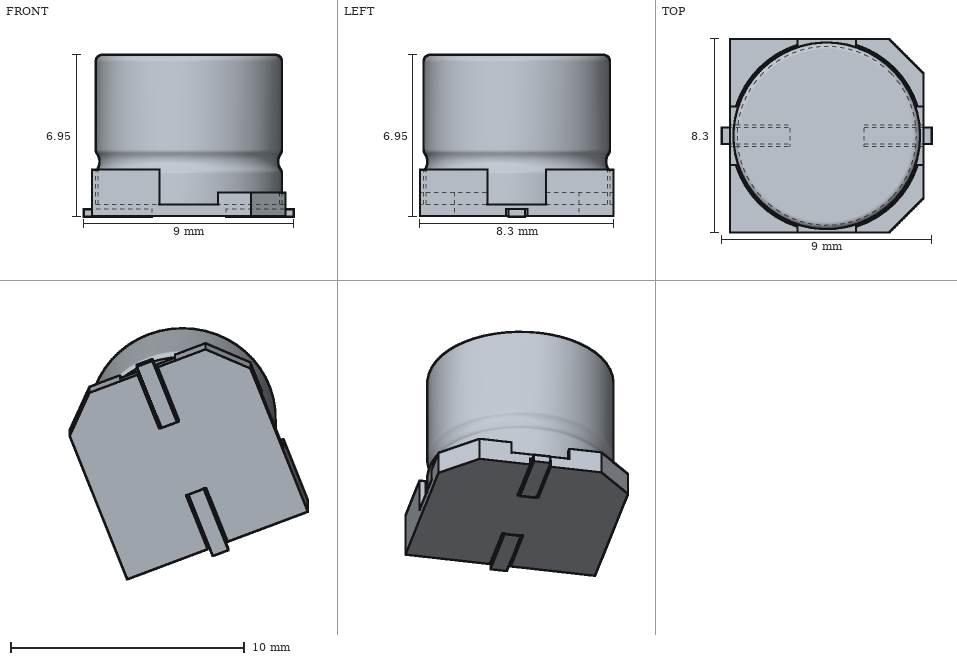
import cadquery as cq
import math

total_length = 9.0
total_height = 6.95

base_side = 8.3
base_bottom = 0.04
base_top = 2.025
low_corner_top = 1.04
chamfer = 1.485
notch_width = 2.52
pocket_floor = 0.54
pocket_radius = 4.09

can_radius = 4.0
rim_fillet = 0.3
groove_height = 2.37
groove_depth = 0.16
groove_radius = 0.6
groove_lip_radius = 0.3

lead_width = 0.72
lead_thickness = 0.33
lead_inner_end = 1.58
slot_width = 0.91


def box_between(x_start, x_end, width, z_bottom, z_top):
    """Box spanning two X positions and two heights, centred on Y."""
    length = x_end - x_start
    return (
        cq.Workplane("XY", origin=((x_start + x_end) / 2, 0, z_bottom))
        .rect(length, width)
        .extrude(z_top - z_bottom)
    )


def make_base():
    """Square base, lowered and chamfered on +X, with a round pocket and four side notches."""
    half_side = base_side / 2
    base = box_between(-half_side, half_side, base_side, base_bottom, base_top)
    base = base.edges("|Z and >X").chamfer(chamfer)
    base = base.cut(box_between(0, half_side, base_side, low_corner_top, base_top))

    pocket_depth = base_top - pocket_floor
    floor_plane = cq.Workplane("XY", origin=(0, 0, pocket_floor))
    base = base.cut(floor_plane.circle(pocket_radius).extrude(pocket_depth))
    base = base.cut(floor_plane.rect(base_side, notch_width).extrude(pocket_depth))
    return base.cut(floor_plane.rect(notch_width, base_side).extrude(pocket_depth))


def make_can():
    """Revolved can with a rounded top rim and a smooth crimp groove near its foot."""
    turn = math.acos(1 - groove_depth / (groove_radius + groove_lip_radius))
    waist_radius = can_radius - groove_depth
    tangent_radius = waist_radius + groove_radius * (1 - math.cos(turn))
    tangent_rise = groove_radius * math.sin(turn)
    groove_half_height = tangent_rise + groove_lip_radius * math.sin(turn)

    lip_middle_radius = can_radius - groove_lip_radius * (1 - math.cos(turn / 2))
    lip_middle_rise = groove_half_height - groove_lip_radius * math.sin(turn / 2)

    profile = (
        cq.Workplane("XZ")
        .moveTo(0, pocket_floor)
        .lineTo(can_radius, pocket_floor)
        .lineTo(can_radius, groove_height - groove_half_height)
        .threePointArc(
            (lip_middle_radius, groove_height - lip_middle_rise),
            (tangent_radius, groove_height - tangent_rise),
        )
        .threePointArc(
            (waist_radius, groove_height),
            (tangent_radius, groove_height + tangent_rise),
        )
        .threePointArc(
            (lip_middle_radius, groove_height + lip_middle_rise),
            (can_radius, groove_height + groove_half_height),
        )
        .lineTo(can_radius, total_height)
        .lineTo(0, total_height)
        .close()
    )
    can = profile.revolve(360, (0, 0, 0), (0, 1, 0))
    return can.faces(">Z").edges().fillet(rim_fillet)


def make_bar_pair(outer_end, width):
    """Two flat bars along X, running outward from the inner lead ends."""
    left = box_between(-outer_end, -lead_inner_end, width, 0, lead_thickness)
    right = box_between(lead_inner_end, outer_end, width, 0, lead_thickness)
    return left.union(right)


lead_slots = make_bar_pair(base_side / 2, slot_width)
leads = make_bar_pair(total_length / 2, lead_width)
result = make_base().cut(lead_slots).union(make_can()).union(leads)